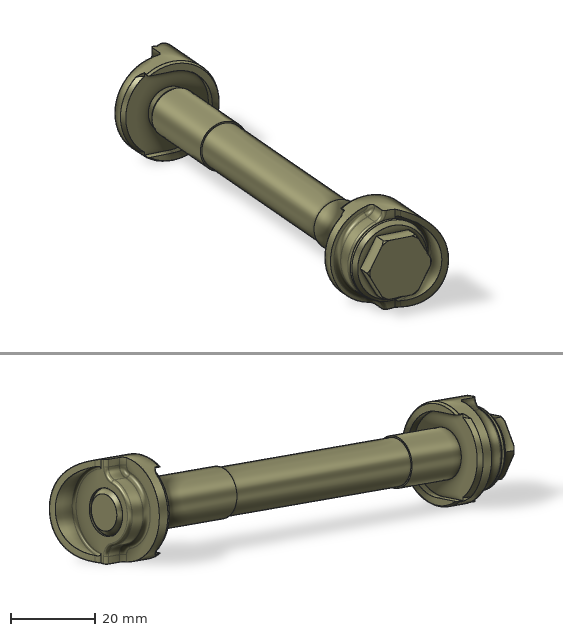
import cadquery as cq


cap_radius = 12.7
cap_end = 66.0
boss_face = 59.4
flange_face = 53.9
pocket_floor = 49.9
cap_back = 47.9

pocket_half_width = 10.4
pocket_mouth_y = -6.9
back_chamfer_length = 0.8
back_chamfer_depth = 0.4
rim_chamfer_length = 1.2
rim_chamfer_depth = 0.8
rim_chamfer_runout = 1.6

hood_inner_radius = 11.1
hood_floor_fillet = 0.7
hood_foot_y = 1.7
hood_curve_start = (60.3, 2.8)
hood_curve_mid = (63.0, 6.0)
boss_blend = 2.9
boss_edge_fillet = 0.8
boss_base_fillet = 1.2

threaded_boss_radius = 8.3
threaded_wall_y = 0.0
head_boss_radius = 10.5
head_wall_y = -1.3

shank_radius = 6.3
waist_radius = 6.0
waist_start = -22.8
waist_end = 33.9
thread_radius = 5.8
thread_tip = -60.0
thread_tip_chamfer = 1.3
shoulder_start = -47.5
shoulder_chamfer = 0.4
head_flange_radius = 10.3
head_flange_rim = 0.8
head_flange_thickness = 2.0
head_flange_chamfer = 0.9
hex_across_flats = 15.0
hex_face = 65.3
hex_chamfer = 0.5

blank_half_width = 2 * cap_radius
pick = 0.1
margin = 1.3


def cylinder_x(start, end, radius):
    """Solid cylinder about the X axis."""
    return cq.Workplane("YZ").workplane(offset=start).circle(radius).extrude(end - start)


def block(x_range, y_range, half_height):
    """Box given by its X and Y limits, centred on Z = 0."""
    return cq.Workplane("XY").box(
        x_range[1] - x_range[0], y_range[1] - y_range[0], 2 * half_height, centered=(False, False, True)
    ).translate((x_range[0], y_range[0], 0))


def bevel_ring(start, length, depth):
    """Ring that cuts a chamfer round the rim on the side facing the middle of the shaft."""
    return (
        cq.Workplane("XY")
        .moveTo(start, cap_radius - depth)
        .lineTo(start + length, cap_radius)
        .lineTo(start, cap_radius)
        .close()
        .revolve(360, (0, 0, 0), (1, 0, 0))
    )


def outline_edges(x, wall_y):
    """Selector for the boss outline at one X station: the round boss, its blends and the wall ends."""
    return cq.selectors.BoxSelector(
        (x - pick, -cap_radius, -blank_half_width), (x + pick, wall_y + pick, blank_half_width)
    )


def boss_blank(boss_radius, wall_y):
    """Flange, boss and the wall beside the boss, still square on the outside.

    Concave blends join the round boss to the wall, which fills the +Y side.
    """
    raised_block = block((flange_face, boss_face), (wall_y, blank_half_width), blank_half_width)
    base = block((cap_back, flange_face), (-blank_half_width, blank_half_width), blank_half_width)
    corner_z = (boss_radius**2 - wall_y**2) ** 0.5
    corners = cq.selectors.BoxSelector(
        (flange_face, wall_y - pick, -corner_z - pick), (boss_face, wall_y + pick, corner_z + pick)
    )
    raised = cylinder_x(flange_face, boss_face, boss_radius).union(raised_block)
    raised = raised.edges("|X").edges(corners).fillet(boss_blend)
    blank = raised.union(base)
    blank = blank.edges(outline_edges(boss_face, wall_y)).fillet(boss_edge_fillet)
    return blank.edges(outline_edges(flange_face, wall_y)).fillet(boss_base_fillet)


def hood_blank():
    """Hood on the +Y side, hollow but still square on the outside; its open edge is swept along Z."""
    cavity = (
        cylinder_x(boss_face, cap_end + margin, hood_inner_radius)
        .faces("<X")
        .edges()
        .fillet(hood_floor_fillet)
    )
    return (
        cq.Workplane("XY")
        .moveTo(boss_face, hood_foot_y)
        .lineTo(*hood_curve_start)
        .threePointArc(hood_curve_mid, (cap_end, cap_radius))
        .lineTo(boss_face, cap_radius)
        .close()
        .extrude(cap_radius, both=True)
        .cut(cavity)
    )


def inner_side_cuts():
    """U-shaped pocket open towards -Y, the cut-away rim below it and the rim chamfers."""
    reach = cap_radius + margin
    pocket_span = (cap_back - margin, pocket_floor)
    pocket = cylinder_x(*pocket_span, pocket_half_width).union(
        block(pocket_span, (-reach, 0), pocket_half_width)
    )
    rim_cut = block(pocket_span, (-reach, pocket_mouth_y), reach)
    bevel_end = pocket_floor + rim_chamfer_length
    bevel_zone = (
        cq.Workplane("XY")
        .moveTo(pocket_floor, pocket_mouth_y)
        .lineTo(bevel_end, pocket_mouth_y - rim_chamfer_runout)
        .lineTo(bevel_end, -reach)
        .lineTo(pocket_floor, -reach)
        .close()
        .extrude(reach, both=True)
    )
    rim_bevel = bevel_ring(pocket_floor, rim_chamfer_length, rim_chamfer_depth).intersect(bevel_zone)
    back_bevel = bevel_ring(cap_back, back_chamfer_length, back_chamfer_depth)
    return [pocket, rim_cut, rim_bevel, back_bevel]


def end_cap(boss_radius, wall_y, hole_radius):
    """One end cap, built for the +X end."""
    cap = boss_blank(boss_radius, wall_y).union(hood_blank())
    cap = cap.intersect(cylinder_x(cap_back, cap_end, cap_radius))
    for cutter in inner_side_cuts():
        cap = cap.cut(cutter)
    return cap.cut(cylinder_x(cap_back, cap_end, hole_radius))


def bolt():
    """Shank with a slimmer waist, a threaded end at -X and a flanged hexagon head at +X."""
    tip = cylinder_x(thread_tip, shoulder_start, thread_radius).faces("<X").chamfer(thread_tip_chamfer)
    shank = cylinder_x(shoulder_start, boss_face, shank_radius).faces("<X").chamfer(shoulder_chamfer)
    waist_groove = cylinder_x(waist_start, waist_end, shank_radius).cut(
        cylinder_x(waist_start, waist_end, waist_radius)
    )
    head_flange_face = boss_face + head_flange_thickness
    head_flange = (
        cylinder_x(boss_face, head_flange_face, head_flange_radius)
        .faces(">X")
        .chamfer(head_flange_thickness - head_flange_rim, head_flange_chamfer)
    )
    hex_circle = hex_across_flats / 3**0.5
    hexagon = (
        cq.Workplane("YZ")
        .workplane(offset=head_flange_face)
        .polygon(6, 2 * hex_circle)
        .extrude(hex_face - head_flange_face)
    )
    hex_crown = cylinder_x(head_flange_face, hex_face, hex_circle).faces(">X").chamfer(hex_chamfer)
    return shank.cut(waist_groove).union(tip).union(head_flange).union(hexagon.intersect(hex_crown))


threaded_cap = end_cap(threaded_boss_radius, threaded_wall_y, thread_radius).mirror("YZ")
head_cap = end_cap(head_boss_radius, head_wall_y, shank_radius)
through_bolt = bolt()

result = cq.Compound.makeCompound([threaded_cap.val(), head_cap.val(), through_bolt.val()])